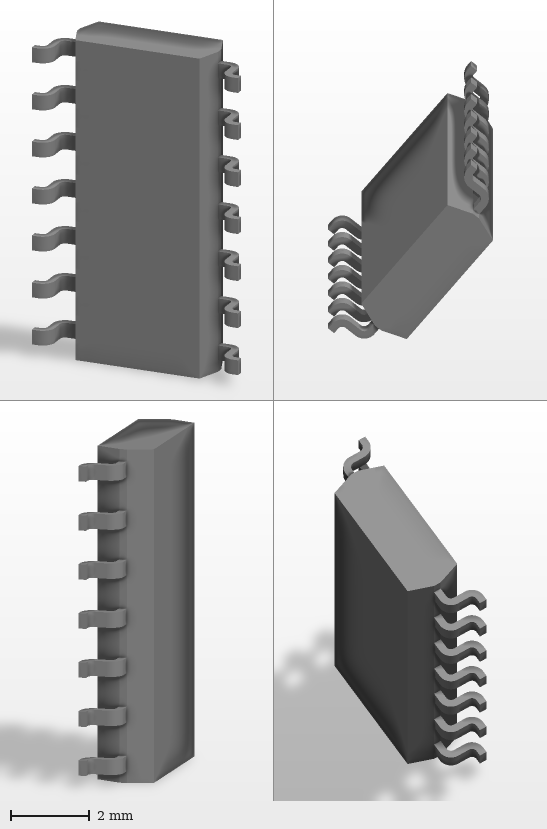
import cadquery as cq

body_length = 8.65
body_width = 3.9
body_bevel_width = 0.23
body_bevel_depth = 0.65

lead_span = 5.7
lead_count = 7
lead_pitch = 1.27
lead_width = 0.4
lead_thickness = 0.2
foot_flat = 0.16
inner_bend = 0.14
outer_bend = inner_bend + lead_thickness

standoff = 0.16
body_depth = 2 * body_bevel_depth + lead_thickness
body_back = standoff + body_depth
shoulder_bottom = standoff + body_bevel_depth
shoulder_top = shoulder_bottom + lead_thickness

side_x = body_width / 2
face_x = side_x - body_bevel_width
tip_x = lead_span / 2


def make_body():
    """Body with a narrow flat band between the two bevels of each side."""
    outline = [
        (-face_x, standoff),
        (face_x, standoff),
        (side_x, shoulder_bottom),
        (side_x, shoulder_top),
        (face_x, body_back),
        (-face_x, body_back),
        (-side_x, shoulder_top),
        (-side_x, shoulder_bottom),
    ]
    return cq.Workplane("XY").polyline(outline).close().extrude(body_length / 2, both=True)


def make_lead():
    """Lead on the +X side, centred on Z = 0."""
    foot_bend_x = tip_x - foot_flat
    leg_inner_x = foot_bend_x - outer_bend
    leg_outer_x = leg_inner_x + lead_thickness
    shoulder_bend_x = leg_inner_x - inner_bend
    return (
        cq.Workplane("XY")
        .moveTo(side_x, shoulder_top)
        .lineTo(shoulder_bend_x, shoulder_top)
        .radiusArc((leg_outer_x, shoulder_top - outer_bend), outer_bend)
        .lineTo(leg_outer_x, outer_bend)
        .radiusArc((foot_bend_x, lead_thickness), -inner_bend)
        .lineTo(tip_x, lead_thickness)
        .lineTo(tip_x, 0)
        .lineTo(foot_bend_x, 0)
        .radiusArc((leg_inner_x, outer_bend), outer_bend)
        .lineTo(leg_inner_x, shoulder_top - outer_bend)
        .radiusArc((shoulder_bend_x, shoulder_bottom), -inner_bend)
        .lineTo(side_x, shoulder_bottom)
        .close()
        .extrude(lead_width / 2, both=True)
    )


result = make_body()
right_lead = make_lead()
left_lead = right_lead.mirror("YZ")
for index in range(lead_count):
    lead_z = (index - (lead_count - 1) / 2) * lead_pitch
    for lead in (left_lead, right_lead):
        result = result.union(lead.translate((0, 0, lead_z)))